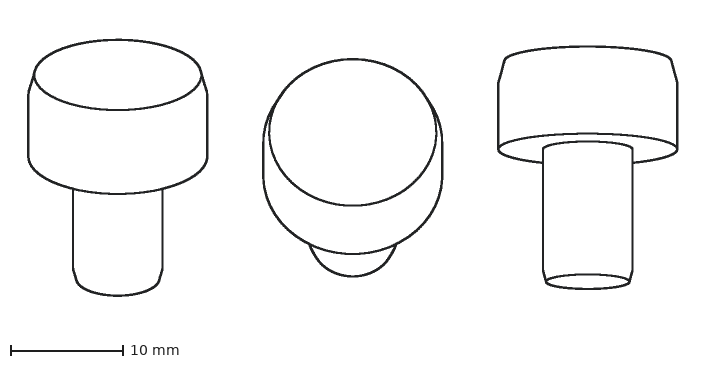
import cadquery as cq
import math

total_height = 20
head_diameter = 16
head_height = 8
shank_diameter = 8
head_taper_height = 2
tip_taper_height = 1
taper_angle = 15

head_radius = head_diameter / 2
shank_radius = shank_diameter / 2
shank_length = total_height - head_height
taper_slope = math.tan(math.radians(taper_angle))
head_top_radius = head_radius - head_taper_height * taper_slope
tip_radius = shank_radius - tip_taper_height * taper_slope

half_profile = (
    cq.Workplane("XZ")
    .moveTo(0, -shank_length)
    .lineTo(tip_radius, -shank_length)
    .lineTo(shank_radius, -shank_length + tip_taper_height)
    .lineTo(shank_radius, 0)
    .lineTo(head_radius, 0)
    .lineTo(head_radius, head_height - head_taper_height)
    .lineTo(head_top_radius, head_height)
    .lineTo(0, head_height)
    .close()
)

result = half_profile.revolve(360, (0, 0, 0), (0, 1, 0))